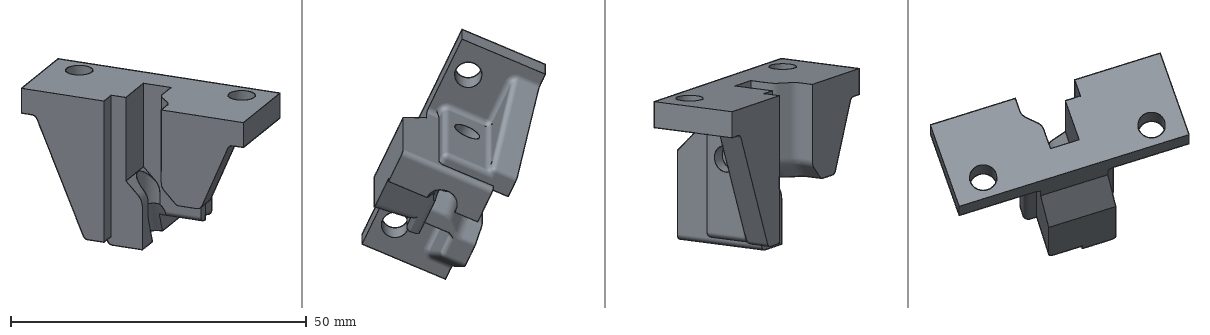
import cadquery as cq
import math


plate_length = 41.0
plate_width = 15.5
plate_thickness = 4.5
centre_x = plate_length / 2
bolt_diameter = 4.6
bolt_spacing = 30.0
bolt_y = 11.85

block_width = 11.97
block_left = centre_x - block_width / 2
block_back = 19.85
block_height = 27.1
chamfer_start = 7.2
chamfer_end = chamfer_start + block_back - plate_width
edge_radius = 1.0

pad_span = 16.07
pad_left = centre_x - pad_span / 2
pad_right = centre_x + pad_span / 2
pad_back = 13.15
left_pad_height = 25.55
right_pad_height = 23.8
inner_corner_radius = 0.9

rib_thickness = 4.67
rib_inset = 2.62
rib_run_per_depth = 0.43
left_rib_height = left_pad_height
right_rib_height = 16.85

notch_left = 15.25
notch_back = 3.08
slot_width = 5.1
slot_left = centre_x - slot_width / 2
slot_right = centre_x + slot_width / 2
slot_back = 10.5
mouth_right = 25.85
flare_front = 3.25
flare_back = flare_front + mouth_right - slot_right
flare_radius = 2.0
bend_depth = 14.0
bend_radius = 2.0
bend_angle = math.radians(45)

lip_right = 21.0
lip_top = 15.1
lip_radius = 3.0

underside_depth = 23.33
underside_angle = math.radians(15)

bore_radius = 2.5
bore_y = slot_back - bore_radius
bore_bend_depth = 21.8
bore_tilt = math.radians(21)

cross_diameter = 4.6
cross_y = 8.9
cross_depth = 11.45
left_cross_length = 2.5

overshoot = 4.1
tolerance = 0.05


def box(x_range, y_range, z_range):
    """Box given by its (low, high) limits along each axis."""
    low, high = (cq.Vector(*corner) for corner in zip(x_range, y_range, z_range))
    size = high - low
    return cq.Workplane("XY").box(size.x, size.y, size.z, centered=False).translate(low)


def near(value):
    return (value - tolerance, value + tolerance)


def edges_within(x_range, y_range, z_range):
    """Selector for edges whose centre lies inside the given limits."""
    return cq.selectors.BoxSelector(*zip(x_range, y_range, z_range))


def underside_z(y):
    """Height of the sloping underside at a given Y."""
    return -underside_depth - (y - slot_back) * math.tan(underside_angle)


def make_block(bottom_front, bottom_back):
    """Left half of the central block, with its lower side edge rounded."""
    block = (
        cq.Workplane("YZ", origin=(block_left, 0, 0))
        .moveTo(notch_back, -plate_thickness)
        .lineTo(plate_width, -plate_thickness)
        .lineTo(plate_width, -chamfer_start)
        .lineTo(block_back, -chamfer_end)
        .lineTo(block_back, bottom_back)
        .lineTo(notch_back, bottom_front)
        .close()
        .extrude(centre_x - block_left)
    )
    return block.faces("<X").edges("<Z").fillet(edge_radius)


def make_rib(height, tip_x):
    return (
        cq.Workplane("XZ")
        .moveTo(rib_inset, -plate_thickness)
        .lineTo(tip_x, -height)
        .lineTo(centre_x, -height)
        .lineTo(centre_x, -plate_thickness)
        .close()
        .extrude(-rib_thickness)
    )


def make_half(block, rib_height, pad_height, round_pad_bottom):
    """Left half of the part before the slot is cut, with its edges rounded."""
    rib_tip = rib_inset + rib_run_per_depth * (rib_height - plate_thickness)
    plate = box((0, centre_x), (0, plate_width), (-plate_thickness, 0))
    pad = box((pad_left, centre_x), (rib_thickness / 2, pad_back), (-pad_height, -plate_thickness))
    half = plate.union(block).union(pad).union(make_rib(rib_height, rib_tip))

    rounded = edges_within(
        (tolerance, block_left + tolerance), (tolerance, plate_width - tolerance), near(-plate_thickness)
    )
    rounded += edges_within(
        (tolerance, pad_left - tolerance), near(rib_thickness), (-rib_height - tolerance, -plate_thickness)
    )
    rounded += edges_within(near(rib_tip), (tolerance, rib_thickness), near(-rib_height))
    rounded += edges_within(near(pad_left), near(pad_back), (-pad_height, -plate_thickness))
    if round_pad_bottom:
        rounded += edges_within(near(pad_left), (rib_thickness, pad_back), near(-pad_height))
        rounded += edges_within((pad_left, block_left), near(pad_back), near(-pad_height))
    half = half.edges(rounded).fillet(edge_radius)

    inner_corner = edges_within(near(pad_left), near(rib_thickness), (-rib_height, -plate_thickness - edge_radius))
    return half.edges(inner_corner).fillet(inner_corner_radius)


def make_underside_cut():
    """Space below the right half, with a rounded fold at the back wall of the slot."""
    fold_reach = edge_radius * math.tan((math.pi / 2 - underside_angle) / 2)
    fold_end_y = slot_back + fold_reach * math.cos(underside_angle)
    end_y = block_back + overshoot
    floor_z = -block_height - overshoot
    return (
        cq.Workplane("YZ", origin=(centre_x, 0, 0))
        .moveTo(slot_back, -underside_depth + fold_reach)
        .radiusArc((fold_end_y, underside_z(fold_end_y)), -edge_radius)
        .lineTo(end_y, underside_z(end_y))
        .lineTo(end_y, floor_z)
        .lineTo(slot_back, floor_z)
        .close()
        .extrude(plate_length / 2)
    )


def make_flared_channel():
    """Slot outline carried straight down, then down to the right at 45 degrees."""
    outline = (
        cq.Workplane("XY")
        .moveTo(slot_left, -overshoot)
        .lineTo(slot_left, slot_back)
        .lineTo(slot_right, slot_back)
        .lineTo(slot_right, flare_back)
        .lineTo(mouth_right, flare_front)
        .lineTo(mouth_right, -overshoot)
        .close()
        .extrude(-plate_thickness)
    )
    flare_corners = edges_within(
        (slot_right - tolerance, mouth_right + tolerance),
        (flare_front - tolerance, flare_back + tolerance),
        (-plate_thickness, 0),
    )
    outline = outline.edges("|Z").edges(flare_corners).fillet(flare_radius).faces(">Z").wires()

    reach = bend_radius * math.tan(bend_angle / 2)
    run = right_rib_height - bend_depth
    path = (
        cq.Workplane("XZ")
        .lineTo(0, -bend_depth + reach)
        .radiusArc((reach * math.sin(bend_angle), -bend_depth - reach * math.cos(bend_angle)), -bend_radius)
        .lineTo(run, -bend_depth - run)
    )
    return cq.Workplane(outline.val()).toPending().sweep(path, normal=(0, 0, 1))


def cut_slot(body):
    floor_z = -block_height - overshoot
    body = body.cut(make_flared_channel())
    body = body.cut(box((notch_left, slot_right), (-overshoot, notch_back), (floor_z, overshoot)))
    body = body.cut(box((slot_left, slot_right), (-overshoot, slot_back), (floor_z, overshoot)))
    return body.cut(box((slot_left, plate_length), (-overshoot, slot_back), (floor_z, -right_rib_height)))


def make_lip():
    lip = (
        cq.Workplane("XZ", origin=(0, notch_back, 0))
        .moveTo(slot_left, -lip_top)
        .lineTo(lip_right, -lip_top - (lip_right - slot_left))
        .lineTo(lip_right, -block_height)
        .lineTo(slot_left, -block_height)
        .close()
        .extrude(notch_back - slot_back)
    )
    return lip.faces(">X").edges(">Z").fillet(lip_radius)


def make_bore():
    """Vertical bore with a rounded elbow into the tilted bore."""
    elbow = cq.Vector(centre_x, bore_y, -bore_bend_depth)
    tilted_direction = cq.Vector(0, math.sin(bore_tilt), -math.cos(bore_tilt))
    vertical = cq.Solid.makeCylinder(bore_radius, bore_bend_depth - lip_top, elbow, cq.Vector(0, 0, 1))
    tilted = cq.Solid.makeCylinder(bore_radius, block_height - bore_bend_depth + overshoot, elbow, tilted_direction)
    joint = cq.Workplane("XY").sphere(bore_radius).translate(elbow)
    return joint.union(cq.Workplane(vertical)).union(cq.Workplane(tilted))


def cross_hole(start_x, length):
    start = cq.Vector(start_x, cross_y, -cross_depth)
    return cq.Workplane(cq.Solid.makeCylinder(cross_diameter / 2, length, start, cq.Vector(1, 0, 0)))


def bolt_holes():
    return (
        cq.Workplane("XY")
        .pushPoints([(centre_x + side * bolt_spacing / 2, bolt_y) for side in (-1, 1)])
        .circle(bolt_diameter / 2)
        .extrude(-plate_thickness)
    )


left_block = make_block(-block_height, -block_height)
left_half = make_half(left_block, left_rib_height, left_pad_height, True)

right_block = make_block(underside_z(notch_back), underside_z(block_back))
right_half = make_half(right_block, right_rib_height, right_pad_height, False)
right_half = right_half.mirror("YZ", (centre_x, 0, 0)).cut(make_underside_cut())

body = cut_slot(left_half.union(right_half))
channel_rim = edges_within((slot_right, pad_right), (rib_thickness, slot_back - tolerance), near(-right_rib_height))
body = body.edges(channel_rim).edges("<X").fillet(edge_radius)
body = body.union(make_lip())
body = body.cut(make_bore())
body = body.cut(cross_hole(pad_left, left_cross_length))
body = body.cut(cross_hole(slot_right, pad_right - slot_right))
result = body.cut(bolt_holes())